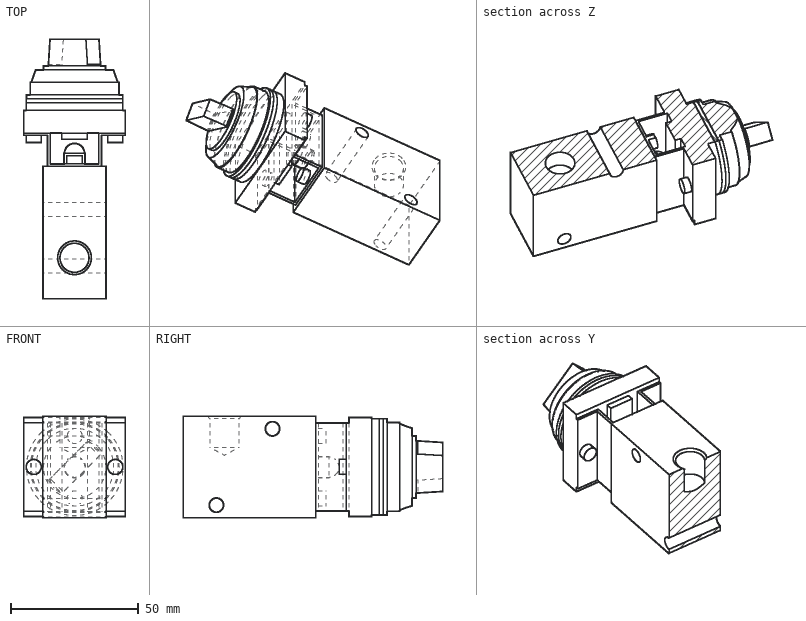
import cadquery as cq
import math

BLOCK_WIDTH = 24.9
BLOCK_LENGTH = 52.2
BLOCK_HEIGHT = 40.0
MOUNT_HOLE_DIA = 5.5
MOUNT_HOLES = [(35.1, 15.0), (13.1, -15.0)]
PORT_Y = 16.1
PORT_DIA = 11.4
PORT_CHAMFER = 0.9
PORT_DEPTH = 12.3
PORT_TIP_DEPTH = 3.1

SLEEVE_DIA = 8.5
SLEEVE_END_Y = 57.2
PLUNGER_DIA = 8.0

FLANGE_WIDTH = 40.0
BRACKET_HEIGHT = 34.7
CHANNEL_WIDTH = 21.2
WALL_THICKNESS = 1.1
SHEET_THICKNESS = 0.9
BRACKET_END_Y = 65.1
SCREW_DIA = 5.9
FLANGE_SCREW_X = 16.0
FLANGE_SCREW_HEIGHT = 2.9
FLOOR_SCREW_Z = 12.3
FLOOR_SCREW_HEIGHT = 3.1

PLATE_HEIGHT = 39.0
PLATE_END_Y = 74.1
RING_DIA = 38.0
RING_END_Y = 77.1
TAB_WIDTH = 10.2
TAB_LENGTH = 2.5

GASKET_END_Y = 78.7
BEZEL_RING_END_Y = 80.1
BEZEL_DIA = 35.0
CONE_START_Y = 85.2
CONE_END_Y = 90.1
CONE_START_DIA = 34.1
CONE_END_DIA = 30.6
COLLAR_DIA = 24.5
COLLAR_END_Y = 91.6

KNOB_END_Y = 102.1
KNOB_WIDTH = 7.4
KNOB_FOOT_DIA = 23.0
KNOB_FOOT_HEIGHT = 0.6
KNOB_TIP_LENGTH = 20.0
KNOB_ANGLE = 45.0


def box(width, start_y, end_y, height):
    """Box centred on the Y axis between two Y positions."""
    length = end_y - start_y
    return cq.Workplane("XY").box(width, length, height).translate((0, start_y + length / 2, 0))


def cylinder(diameter, start_y, end_y, x=0, z=0):
    """Cylinder parallel to the Y axis between two Y positions."""
    axis = cq.Vector(0, 1, 0)
    start = cq.Vector(x, start_y, z)
    return cq.Workplane(obj=cq.Solid.makeCylinder(diameter / 2, end_y - start_y, start, axis))


def make_port():
    """Port with a chamfered mouth and a conical bottom, entering from the top of the block."""
    top_z = BLOCK_HEIGHT / 2
    bottom_z = top_z - PORT_DEPTH
    radius = PORT_DIA / 2
    profile = [
        (0, top_z),
        (radius + PORT_CHAMFER, top_z),
        (radius, top_z - PORT_CHAMFER),
        (radius, bottom_z),
        (0, bottom_z - PORT_TIP_DEPTH),
    ]
    port = cq.Workplane("XZ").polyline(profile).close().revolve(360, (0, 0), (0, 1))
    return port.translate((0, PORT_Y, 0))


def make_block():
    block = box(BLOCK_WIDTH, 0, BLOCK_LENGTH, BLOCK_HEIGHT)
    holes = cq.Workplane("YZ").pushPoints(MOUNT_HOLES).circle(MOUNT_HOLE_DIA / 2)
    block = block.cut(holes.extrude(BLOCK_WIDTH / 2, both=True)).cut(make_port())
    sleeve = cylinder(SLEEVE_DIA, BLOCK_LENGTH, SLEEVE_END_Y)
    bore = cylinder(PLUNGER_DIA, BLOCK_LENGTH, SLEEVE_END_Y)
    return block.union(sleeve.cut(bore))


def make_plunger():
    nose = cq.Workplane("XY").sphere(PLUNGER_DIA / 2).translate((0, SLEEVE_END_Y, 0))
    return cylinder(PLUNGER_DIA, BLOCK_LENGTH, SLEEVE_END_Y).union(nose)


def make_bracket():
    floor_y = BLOCK_LENGTH + SHEET_THICKNESS
    flange_y = BRACKET_END_Y - SHEET_THICKNESS
    inner_width = CHANNEL_WIDTH - 2 * WALL_THICKNESS
    bracket = box(CHANNEL_WIDTH, BLOCK_LENGTH, BRACKET_END_Y, BRACKET_HEIGHT)
    bracket = bracket.union(box(FLANGE_WIDTH, flange_y, BRACKET_END_Y, BRACKET_HEIGHT))
    bracket = bracket.cut(box(inner_width, floor_y, BRACKET_END_Y, BRACKET_HEIGHT))
    bracket = bracket.cut(cylinder(SLEEVE_DIA, BLOCK_LENGTH, floor_y))

    for side in (-1, 1):
        flange_start = flange_y - FLANGE_SCREW_HEIGHT
        bracket = bracket.union(cylinder(SCREW_DIA, flange_start, flange_y, x=side * FLANGE_SCREW_X))
        floor_end = floor_y + FLOOR_SCREW_HEIGHT
        bracket = bracket.union(cylinder(SCREW_DIA, floor_y, floor_end, z=side * FLOOR_SCREW_Z))
    return bracket


def make_housing():
    """Bracket, head plate, tab and ring as one body."""
    plate = box(FLANGE_WIDTH, BRACKET_END_Y, PLATE_END_Y, PLATE_HEIGHT)
    tab = box(TAB_WIDTH, BRACKET_END_Y - TAB_LENGTH, BRACKET_END_Y, BRACKET_HEIGHT)
    return make_bracket().union(plate).union(tab).union(cylinder(RING_DIA, PLATE_END_Y, RING_END_Y))


def make_gasket():
    return cylinder(RING_DIA, RING_END_Y, GASKET_END_Y)


def make_bezel():
    profile = [
        (0, GASKET_END_Y),
        (RING_DIA / 2, GASKET_END_Y),
        (RING_DIA / 2, BEZEL_RING_END_Y),
        (BEZEL_DIA / 2, BEZEL_RING_END_Y),
        (BEZEL_DIA / 2, CONE_START_Y),
        (CONE_START_DIA / 2, CONE_START_Y),
        (CONE_END_DIA / 2, CONE_END_Y),
        (COLLAR_DIA / 2, CONE_END_Y),
        (COLLAR_DIA / 2, COLLAR_END_Y),
        (0, COLLAR_END_Y),
    ]
    return cq.Workplane("XY").polyline(profile).close().revolve(360, (0, 0), (0, 1))


def make_knob():
    foot_end = COLLAR_END_Y + KNOB_FOOT_HEIGHT
    foot_strip = box(KNOB_FOOT_DIA, COLLAR_END_Y, foot_end, KNOB_WIDTH)
    foot = cylinder(KNOB_FOOT_DIA, COLLAR_END_Y, foot_end).intersect(foot_strip)

    half_root = math.sqrt(KNOB_FOOT_DIA**2 - KNOB_WIDTH**2) / 2
    half_tip = KNOB_TIP_LENGTH / 2
    outline = [
        (-half_root, foot_end),
        (half_root, foot_end),
        (half_tip, KNOB_END_Y),
        (-half_tip, KNOB_END_Y),
    ]
    blade = cq.Workplane("XY").polyline(outline).close().extrude(KNOB_WIDTH / 2, both=True)
    return foot.union(blade).rotate((0, 0, 0), (0, 1, 0), -KNOB_ANGLE)


block = make_block()
plunger = make_plunger()
housing = make_housing()
gasket = make_gasket()
bezel = make_bezel()
knob = make_knob()

result = cq.Compound.makeCompound(
    [block.val(), plunger.val(), housing.val(), gasket.val(), bezel.val(), knob.val()]
)